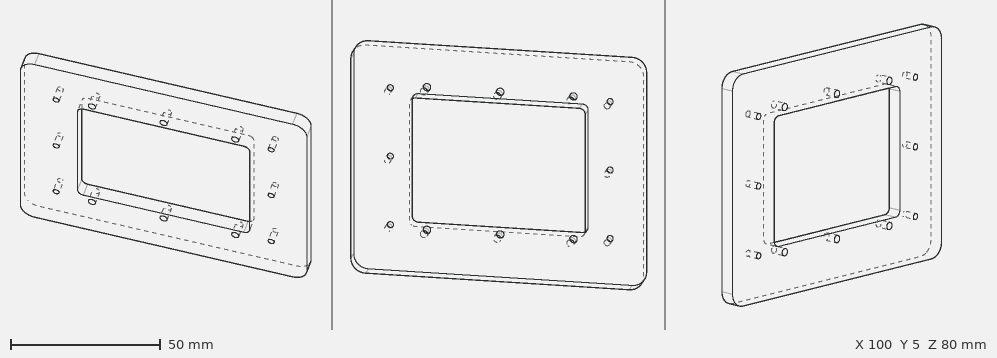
import cadquery as cq

width = 100.0
height = 80.0
thickness = 5.0
corner_radius = 5.0

window_width = 60.0
window_height = 45.0
window_radius = 2.0

row_thread_diameter = 3.0
row_thread_pitch = 0.5
row_spacing = 25.0
row_offset = 25.0

column_thread_diameter = 2.5
column_thread_pitch = 0.45
column_spacing = 24.0
column_offset = 37.5


def rounded_block(block_width, block_height, radius):
    """Centred block of plate thickness with its corners rounded along Y."""
    block = cq.Workplane("XY").box(block_width, thickness, block_height)
    return block.edges("|Y").fillet(radius)


def tap_drill_bores(points, thread_diameter, thread_pitch):
    """Cutters through the plate at (x, z) points; a tap drill is thread diameter less pitch."""
    bore_diameter = thread_diameter - thread_pitch
    plane = cq.Workplane("XZ").pushPoints(points)
    return plane.circle(bore_diameter / 2).extrude(thickness, both=True)


steps = (-1, 0, 1)
sides = (-1, 1)
row_points = [(step * row_spacing, side * row_offset) for step in steps for side in sides]
column_points = [(side * column_offset, step * column_spacing) for step in steps for side in sides]

plate = rounded_block(width, height, corner_radius)
window = rounded_block(window_width, window_height, window_radius)

result = (
    plate.cut(window)
    .cut(tap_drill_bores(row_points, row_thread_diameter, row_thread_pitch))
    .cut(tap_drill_bores(column_points, column_thread_diameter, column_thread_pitch))
)